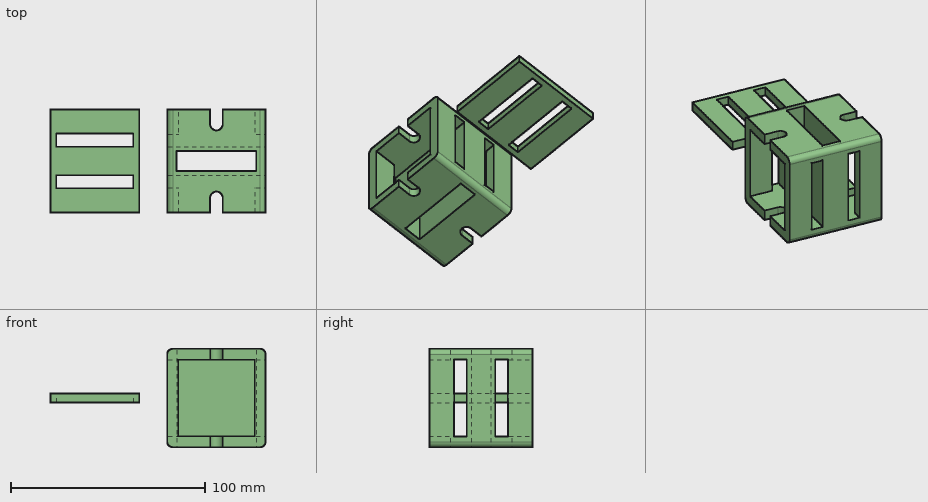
import cadquery as cq

overall_length = 110.8
housing_side = 50.7
depth = 53.1
ends = (-1, 1)

wall = 5.7
corner_radius = 3.0
cavity_side = housing_side - 2 * wall
web_slot_length = 40.8
web_slot_width = 10.2
notch_width = 6.4
notch_depth = 10.7

web_thickness = 14.7
housing_slot_width = 6.4
plate_slot_width = 6.6

plate_length = 45.8
plate_thickness = 4.8
plate_centre_x = housing_side / 2 - overall_length + plate_length / 2


def housing_block():
    """Solid block with its four long edges rounded, centred on the origin."""
    return cq.Workplane("XY").box(housing_side, depth, housing_side).edges("|Y").fillet(corner_radius)


def end_pocket(end):
    """Square pocket from the front (end = -1) or rear (end = 1) face to the web."""
    pocket_depth = (depth - web_thickness) / 2
    centre_y = end * (web_thickness + pocket_depth) / 2
    return cq.Workplane("XY").box(cavity_side, pocket_depth, cavity_side).translate((0, centre_y, 0))


def end_notch(end):
    """Round-ended notch through the top and bottom walls, open at one end face."""
    notch_radius = notch_width / 2
    straight_depth = notch_depth - notch_radius
    round_centre_y = end * (depth / 2 - straight_depth)
    straight_centre_y = end * (depth - straight_depth) / 2
    straight = (
        cq.Workplane("XY")
        .box(notch_width, straight_depth, housing_side)
        .translate((0, straight_centre_y, 0))
    )
    round_end = (
        cq.Workplane("XY")
        .cylinder(housing_side, notch_radius)
        .translate((0, round_centre_y, 0))
    )
    return straight.union(round_end)


def web_slot():
    """Slot down through the top wall, the web and the bottom wall."""
    return cq.Workplane("XY").box(web_slot_length, web_slot_width, housing_side)


def strap_slot(end, length, width, height):
    """Slot whose inner edge lies in line with the front (end = -1) or rear (end = 1) face of the web."""
    centre_y = end * (web_thickness + width) / 2
    return cq.Workplane("XY").box(length, width, height).translate((0, centre_y, 0))


def make_housing():
    """Tube with a web, its web slot, end notches and full-height strap slots through both sides."""
    body = housing_block().cut(web_slot())
    for end in ends:
        body = body.cut(end_pocket(end))
        body = body.cut(end_notch(end))
        body = body.cut(strap_slot(end, housing_side, housing_slot_width, cavity_side))
    return body


def make_plate():
    """Flat plate beside the housing with two strap slots as long as the housing's are high."""
    body = cq.Workplane("XY").box(plate_length, depth, plate_thickness)
    for end in ends:
        body = body.cut(strap_slot(end, cavity_side, plate_slot_width, plate_thickness))
    return body.translate((plate_centre_x, 0, 0))


housing = make_housing()
plate = make_plate()

result = cq.Compound.makeCompound([housing.val(), plate.val()])